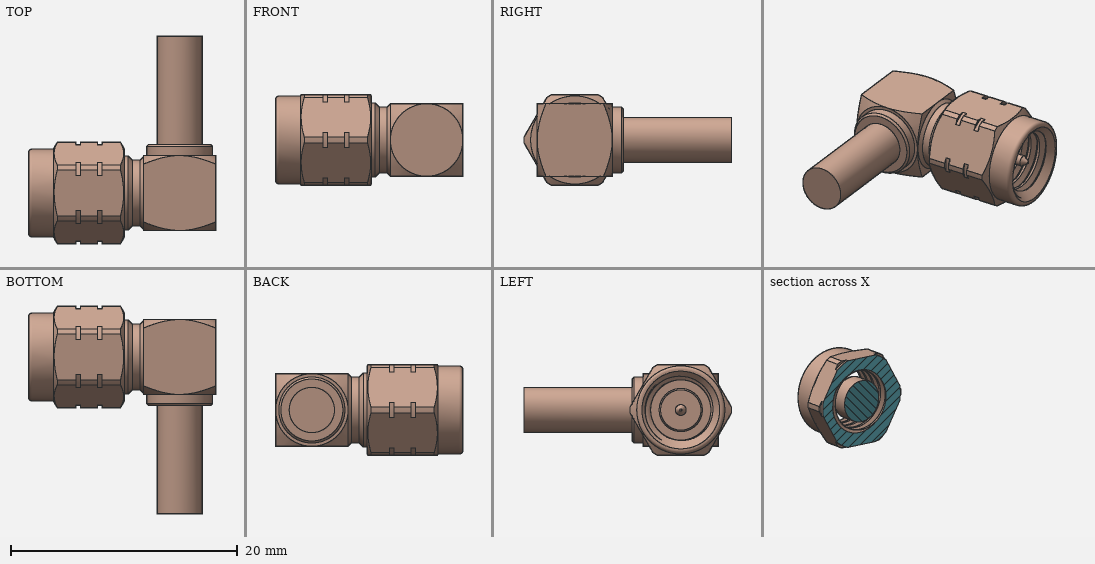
import cadquery as cq
import math


NUT_COLLAR_RADIUS = 3.88
NUT_LIP_FILLET = 0.31
HEX_FRONT = 2.18
NUT_BACK = 8.45
HEX_ACROSS_FLATS = 8.0
HEX_CORNER_RADIUS = 4.49
HEX_BEVEL = math.radians(30)
MARK_GROOVE_RADIUS = 4.29
MARK_GROOVE_WIDTH = 0.4
MARK_GROOVE_STARTS = (4.15, 6.08)

MOUTH_RADIUS = 3.43
CREST_RADIUS = 2.65
ROOT_RADIUS = 3.15
THREAD_PITCH = 0.9
GROOVE_CREST_WIDTH = 0.66
GROOVE_ROOT_WIDTH = 0.1
THREAD_START = 0.15
GROOVE_OVERLAP = 0.1

SHANK_FRONT = 4.4
SHANK_RADIUS = 3.28
SHANK_BEVEL_START = 8.78
NECK_RADIUS = 2.91
BOSS_RADIUS = 1.9
BOSS_CHAMFER = 0.13
BOSS_LENGTH = 1.61
BLOCK_SIDE = 6.4
BLOCK_LENGTH = 6.61
BLOCK_FRONT = 10.11
BLOCK_BEVEL = math.radians(30)
FERRULE_RADIUS = 2.91
FERRULE_LENGTH = 0.99
FERRULE_CHAMFER = 0.18

PIN_RADIUS = 0.48
PIN_TIP_RADIUS = 0.1
PIN_TIP_LENGTH = 0.55
PIN_FRONT = 0.62
CABLE_RADIUS = 2.0
CABLE_END = 13.83

block_half = BLOCK_SIDE / 2
cable_x = BLOCK_FRONT + block_half
block_half_length = BLOCK_LENGTH / 2
ferrule_end = block_half_length + FERRULE_LENGTH
boss_front = SHANK_FRONT - BOSS_LENGTH


def revolve_about_x(profile):
    """Solid of revolution about X from (x, radius) points."""
    return cq.Workplane("XY").polyline(profile).close().revolve(360, (0, 0, 0), (1, 0, 0))


def rod_along_x(start, end, radius):
    """Round bar on the plug axis, from X = start to X = end."""
    return cq.Workplane("YZ", origin=(start, 0, 0)).circle(radius).extrude(end - start)


def rod_along_y(start, end, radius):
    """Round bar on the cable axis, from Y = start to Y = end."""
    bar = cq.Workplane("XZ", origin=(cable_x, end, 0)).circle(radius)
    return bar.extrude(end - start)


def make_hex():
    """Hexagon with flats facing up and down, rounded corners and bevelled ends."""
    across_corners = HEX_ACROSS_FLATS / math.cos(math.pi / 6)
    prism = cq.Workplane("YZ", origin=(HEX_FRONT, 0, 0)).polygon(6, across_corners)
    prism = prism.extrude(NUT_BACK - HEX_FRONT)
    bevel_length = (HEX_CORNER_RADIUS - NUT_COLLAR_RADIUS) * math.tan(HEX_BEVEL)
    envelope = revolve_about_x([
        (HEX_FRONT, 0),
        (HEX_FRONT, NUT_COLLAR_RADIUS),
        (HEX_FRONT + bevel_length, HEX_CORNER_RADIUS),
        (NUT_BACK - bevel_length, HEX_CORNER_RADIUS),
        (NUT_BACK, NUT_COLLAR_RADIUS),
        (NUT_BACK, 0),
    ])
    return prism.intersect(envelope)


def make_mark_groove(start):
    """Ring that cuts a shallow notch across every hex corner."""
    end = start + MARK_GROOVE_WIDTH
    outer = rod_along_x(start, end, HEX_ACROSS_FLATS)
    return outer.cut(rod_along_x(start, end, MARK_GROOVE_RADIUS))


def make_bore():
    """Conical mouth, thread crest bore and the seat for the body shank."""
    mouth_depth = MOUTH_RADIUS - CREST_RADIUS
    bore = revolve_about_x([
        (0, 0),
        (0, MOUTH_RADIUS),
        (mouth_depth, CREST_RADIUS),
        (SHANK_FRONT, CREST_RADIUS),
        (SHANK_FRONT, SHANK_RADIUS),
        (NUT_BACK, SHANK_RADIUS),
        (NUT_BACK, 0),
    ])
    return bore.rotate((0, 0, 0), (1, 0, 0), 180)


def make_thread_groove():
    """Right-hand helical groove, swept along Z and then turned onto X."""
    length = SHANK_FRONT + GROOVE_CREST_WIDTH / 2 - THREAD_START
    helix = cq.Wire.makeHelix(THREAD_PITCH, length, CREST_RADIUS)
    flank_run = (GROOVE_CREST_WIDTH - GROOVE_ROOT_WIDTH) / 2
    flank_slope = flank_run / (ROOT_RADIUS - CREST_RADIUS)
    inner_half = GROOVE_CREST_WIDTH / 2 + GROOVE_OVERLAP * flank_slope
    root_half = GROOVE_ROOT_WIDTH / 2
    profile = cq.Workplane("XZ").polyline([
        (CREST_RADIUS - GROOVE_OVERLAP, -inner_half),
        (ROOT_RADIUS, -root_half),
        (ROOT_RADIUS, root_half),
        (CREST_RADIUS - GROOVE_OVERLAP, inner_half),
    ]).close()
    groove = profile.sweep(cq.Workplane(obj=helix), isFrenet=True)
    return groove.rotate((0, 0, 0), (0, 1, 0), 90).translate((THREAD_START, 0, 0))


def make_nut():
    collar = rod_along_x(0, HEX_FRONT, NUT_COLLAR_RADIUS)
    collar = collar.faces("<X").edges().fillet(NUT_LIP_FILLET)
    nut = collar.union(make_hex())
    for start in MARK_GROOVE_STARTS:
        nut = nut.cut(make_mark_groove(start))
    return nut.cut(make_bore()).cut(make_thread_groove())


def make_block():
    """Elbow block whose two Y ends are bevelled by a cone about the cable axis."""
    block = cq.Workplane("XY").box(BLOCK_SIDE, BLOCK_LENGTH, BLOCK_SIDE).translate((cable_x, 0, 0))
    corner_radius = block_half * math.sqrt(2)
    bevel_length = (corner_radius - block_half) * math.tan(BLOCK_BEVEL)
    envelope = (
        cq.Workplane("XY", origin=(cable_x, 0, 0))
        .polyline([
            (0, -block_half_length),
            (block_half, -block_half_length),
            (corner_radius, bevel_length - block_half_length),
            (corner_radius, block_half_length - bevel_length),
            (block_half, block_half_length),
            (0, block_half_length),
        ])
        .close()
        .revolve(360, (0, 0, 0), (0, 1, 0))
    )
    return block.intersect(envelope)


def make_shank():
    """Turned part of the body: boss, shank in the nut, neck and flare to the block."""
    neck_start = SHANK_BEVEL_START + SHANK_RADIUS - NECK_RADIUS
    flare_start = BLOCK_FRONT - (block_half - NECK_RADIUS)
    return revolve_about_x([
        (boss_front, 0),
        (boss_front, BOSS_RADIUS - BOSS_CHAMFER),
        (boss_front + BOSS_CHAMFER, BOSS_RADIUS),
        (SHANK_FRONT, BOSS_RADIUS),
        (SHANK_FRONT, SHANK_RADIUS),
        (SHANK_BEVEL_START, SHANK_RADIUS),
        (neck_start, NECK_RADIUS),
        (flare_start, NECK_RADIUS),
        (BLOCK_FRONT, block_half),
        (BLOCK_FRONT, 0),
    ])


def make_body():
    ferrule = rod_along_y(block_half_length, ferrule_end, FERRULE_RADIUS)
    ferrule = ferrule.faces(">Y").edges().chamfer(FERRULE_CHAMFER)
    return make_block().union(make_shank()).union(ferrule)


def make_pin():
    """Centre contact with a conical tip, standing on the boss."""
    return revolve_about_x([
        (PIN_FRONT, 0),
        (PIN_FRONT, PIN_TIP_RADIUS),
        (PIN_FRONT + PIN_TIP_LENGTH, PIN_RADIUS),
        (boss_front, PIN_RADIUS),
        (boss_front, 0),
    ])


def make_cable():
    return rod_along_y(ferrule_end, CABLE_END, CABLE_RADIUS)


nut = make_nut()
body = make_body()
pin = make_pin()
cable = make_cable()

result = cq.Compound.makeCompound([nut.val(), body.val(), pin.val(), cable.val()])